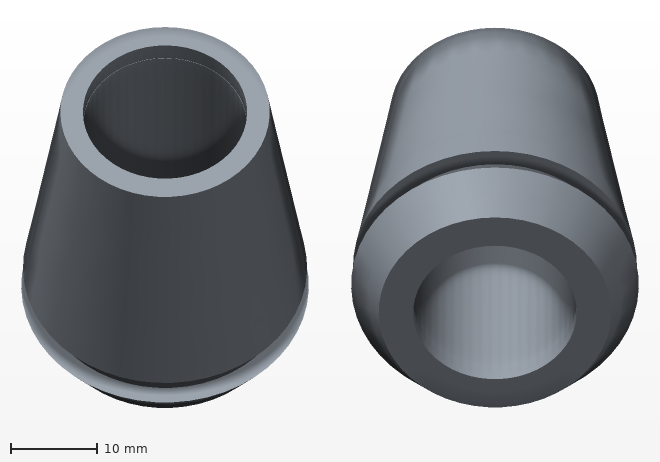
import cadquery as cq
import math

height = 40.0
flange_diameter = 33.35

flange_height = 5.5
flange_half_angle = 30.0

groove_diameter = 29.2
groove_height = 3.6

cone_base_diameter = 32.95
cone_half_angle = 8.0

bore_diameter = 18.95
mouth_diameter = 19.05
mouth_depth = 2.5

cone_base_z = flange_height + groove_height
flange_radius = flange_diameter / 2
groove_radius = groove_diameter / 2
cone_base_radius = cone_base_diameter / 2
foot_radius = flange_radius - flange_height * math.tan(math.radians(flange_half_angle))
top_radius = cone_base_radius - (height - cone_base_z) * math.tan(math.radians(cone_half_angle))


def make_body():
    """Solid of revolution about Z with the flange, groove and main cone."""
    profile = [
        (0, 0),
        (foot_radius, 0),
        (flange_radius, flange_height),
        (groove_radius, flange_height),
        (groove_radius, cone_base_z),
        (cone_base_radius, cone_base_z),
        (top_radius, height),
        (0, height),
    ]
    return cq.Workplane("XZ").polyline(profile).close().revolve(360, (0, 0), (0, 1))


def make_bore():
    """Through bore with its wider mouth at the top."""
    bore = cq.Workplane("XY").circle(bore_diameter / 2).extrude(height)
    mouth = (
        cq.Workplane("XY")
        .workplane(offset=height - mouth_depth)
        .circle(mouth_diameter / 2)
        .extrude(mouth_depth)
    )
    return bore.union(mouth)


result = make_body().cut(make_bore())